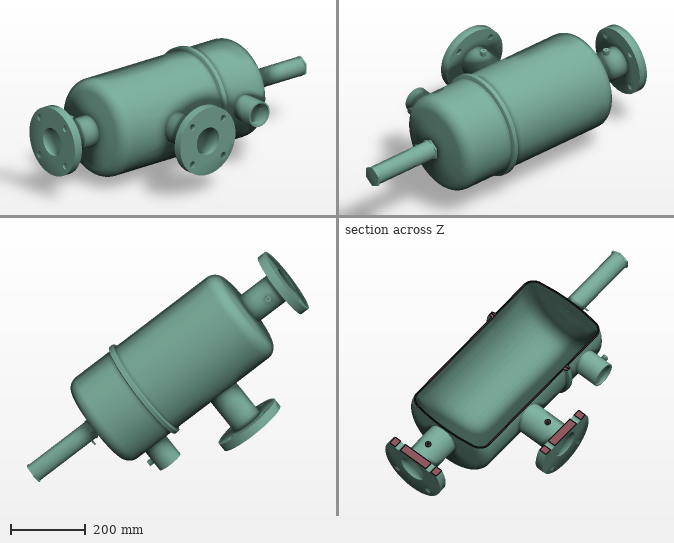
import cadquery as cq
import math


vessel_radius = 136.5
wall = 4.0
lower_shell_end = 168.0
upper_shell_end = 613.0
knuckle_radius = 33.0
crown_radius = 605.0

knuckle_center = vessel_radius - knuckle_radius
crown_angle = math.asin(knuckle_center / (crown_radius - knuckle_radius))
dome_center_depth = (crown_radius - knuckle_radius) * math.cos(crown_angle)
dome_height = crown_radius - dome_center_depth

rim_radius = 146.0
rim_start = 477.0
rim_end = 495.0
rim_chamfer_length = 3.5
split_y = 488.0

nozzle_radius = 43.0
nozzle_bore_radius = nozzle_radius - wall
flange_radius = 96.0
flange_thickness = 24.0
bolt_offset = 53.5
bolt_hole_diameter = 18.0
side_nozzle_y = 324.0
side_flange_x = 263.5

port_radius = 35.0
port_bore_radius = port_radius - wall
port_y = 555.0
port_end_x = 201.0

socket_radius = 8.2
socket_bore_radius = 3.0
socket_height = 13.0
inlet_socket_y = 64.0
side_socket_x = 200.0
port_socket_x = 169.0

actuator_end = 864.0
cap_thickness = 5.0
lower_cap_y = 663.0
barrel_radius = 26.0
cap_across_flats = 2 * barrel_radius
neck_radius = 16.0
neck_seat_depth = 1.0
spigot_radius = 11.0
nipple_radius = 3.0
nipple_length = 14.0
nipple_y = 683.0

dome_apex_y = upper_shell_end + dome_height
neck_seat_y = dome_apex_y - neck_seat_depth

along_x = cq.Vector(1, 0, 0)
along_y = cq.Vector(0, 1, 0)
along_z = cq.Vector(0, 0, 1)


def rod(radius, start, direction, length):
    """Cylinder that begins at a point and runs along a direction."""
    return cq.Workplane(obj=cq.Solid.makeCylinder(radius, length, cq.Vector(*start), direction))


def dome_arcs(outline, shell_end, outward, inset):
    """Continue an outline from the shell end over the tangent knuckle and crown to the axis."""
    knuckle_r = knuckle_radius - inset
    crown_r = crown_radius - inset
    crown_center_y = shell_end - outward * dome_center_depth

    def on_knuckle(angle):
        return (
            knuckle_center + knuckle_r * math.sin(angle),
            shell_end + outward * knuckle_r * math.cos(angle),
        )

    def on_crown(angle):
        return (crown_r * math.sin(angle), crown_center_y + outward * crown_r * math.cos(angle))

    outline = outline.threePointArc(on_knuckle((math.pi / 2 + crown_angle) / 2), on_knuckle(crown_angle))
    return outline.threePointArc(on_crown(crown_angle / 2), on_crown(0))


def vessel_half(shell_end, outward, inset):
    """Solid domed half of the vessel, from the split plane to the apex."""
    outline = cq.Workplane("XY").moveTo(0, split_y).lineTo(vessel_radius - inset, split_y)
    outline = outline.lineTo(vessel_radius - inset, shell_end)
    outline = dome_arcs(outline, shell_end, outward, inset)
    return outline.close().revolve(360, (0, 0, 0), (0, 1, 0))


def rim_half(edge_y, outward):
    """Rim collar from the split plane to an edge that slopes down to the shell."""
    corner_y = edge_y - outward * rim_chamfer_length
    return (
        cq.Workplane("XY")
        .moveTo(0, split_y)
        .lineTo(rim_radius, split_y)
        .lineTo(rim_radius, corner_y)
        .lineTo(vessel_radius, edge_y)
        .lineTo(0, edge_y)
        .close()
        .revolve(360, (0, 0, 0), (0, 1, 0))
    )


def flange(face_center, inward):
    """Flange disc with four bolt holes on the diagonals, built inward from its face."""
    disc = rod(flange_radius, face_center, inward, flange_thickness)
    plane = cq.Plane(face_center, xDir=along_z, normal=inward)
    holes = (
        cq.Workplane(plane)
        .rect(2 * bolt_offset, 2 * bolt_offset, forConstruction=True)
        .vertices()
        .circle(bolt_hole_diameter / 2)
        .extrude(flange_thickness)
    )
    return disc.cut(holes)


def make_lower_housing():
    inlet_face = (0, 0, 0)
    side_face = (side_flange_x, side_nozzle_y, 0)
    socket_reach = nozzle_radius + socket_height
    inlet_socket_base = (0, inlet_socket_y, 0)
    side_socket_base = (side_socket_x, side_nozzle_y, 0)
    sockets = [
        (inlet_socket_base, along_z),
        (inlet_socket_base, -along_z),
        (side_socket_base, along_z),
    ]

    body = vessel_half(lower_shell_end, -1, 0).union(rim_half(rim_start, -1))
    body = body.union(rod(nozzle_radius, inlet_face, along_y, lower_shell_end))
    body = body.union(rod(nozzle_radius, side_face, -along_x, side_flange_x))
    body = body.union(flange(inlet_face, along_y))
    body = body.union(flange(side_face, -along_x))
    for base, direction in sockets:
        body = body.union(rod(socket_radius, base, direction, socket_reach))

    body = body.cut(vessel_half(lower_shell_end, -1, wall))
    body = body.cut(rod(nozzle_bore_radius, inlet_face, along_y, lower_shell_end))
    body = body.cut(rod(nozzle_bore_radius, side_face, -along_x, side_flange_x))
    for base, direction in sockets:
        body = body.cut(rod(socket_bore_radius, base, direction, socket_reach))
    return body


def make_upper_housing():
    port_face = (port_end_x, port_y, 0)
    socket_base = (port_socket_x, port_y, 0)
    socket_reach = port_radius + socket_height

    body = vessel_half(upper_shell_end, 1, 0).union(rim_half(rim_end, 1))
    body = body.union(rod(port_radius, port_face, -along_x, port_end_x))
    body = body.union(rod(socket_radius, socket_base, along_y, socket_reach))

    body = body.cut(vessel_half(upper_shell_end, 1, wall))
    body = body.cut(rod(port_bore_radius, port_face, -along_x, port_end_x))
    body = body.cut(rod(socket_bore_radius, socket_base, along_y, socket_reach))
    body = body.cut(rod(spigot_radius, (0, upper_shell_end, 0), along_y, dome_height))
    return body.cut(rod(neck_radius, (0, neck_seat_y, 0), along_y, neck_seat_depth))


def hex_cap(start_y):
    """Hexagonal end cap with two flats square to X."""
    across_corners = cap_across_flats / math.cos(math.pi / 6)
    plane = cq.Plane((0, start_y, 0), xDir=along_z, normal=along_y)
    return cq.Workplane(plane).polygon(6, across_corners).extrude(cap_thickness)


def make_lower_cap():
    spigot_start = dome_apex_y - wall
    neck = rod(neck_radius, (0, neck_seat_y, 0), along_y, lower_cap_y - neck_seat_y)
    spigot = rod(spigot_radius, (0, spigot_start, 0), along_y, neck_seat_y - spigot_start)
    return hex_cap(lower_cap_y).union(neck).union(spigot)


def make_barrel():
    start_y = lower_cap_y + cap_thickness
    length = actuator_end - cap_thickness - start_y
    return rod(barrel_radius, (0, start_y, 0), along_y, length).cut(make_nipple())


def make_nipple():
    """Side nipple, set one radius deep into the barrel wall."""
    root_x = barrel_radius - nipple_radius
    return rod(nipple_radius, (root_x, nipple_y, 0), along_x, nipple_radius + nipple_length)


lower_housing = make_lower_housing()
upper_housing = make_upper_housing()
lower_cap = make_lower_cap()
barrel = make_barrel()
upper_cap = hex_cap(actuator_end - cap_thickness)
nipple = make_nipple()

result = cq.Compound.makeCompound([
    lower_housing.val(),
    upper_housing.val(),
    lower_cap.val(),
    barrel.val(),
    upper_cap.val(),
    nipple.val(),
])